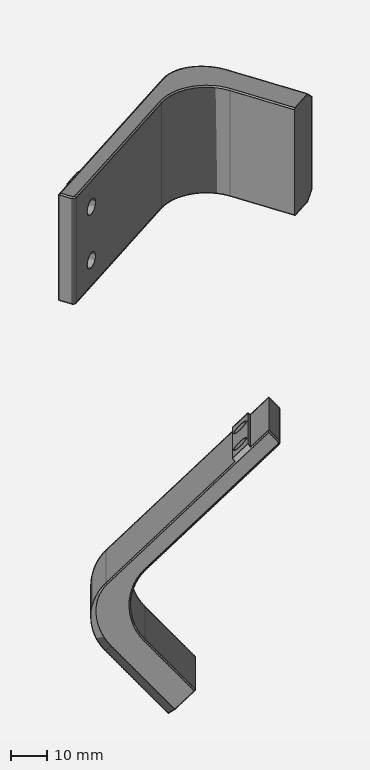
import cadquery as cq

width = 39.0
length = 76.5
height = 36.25

long_leg_thickness = 5.0
short_leg_thickness = 10.5
bend_radius = 14.0
end_radius = 1.0

rim_chamfer = 0.42
back_chamfer = 2.5
rim_depth = 3.05

rib_height = 1.0
rib_width = 6.0
rib_from_end = 10.0
hole_diameter = 5.0
hole_spacing = 18.0


def bar_outline(z, grow_rim, grow_back):
    """L-shaped outline at height z, grown outwards from the nominal sides.

    The back may grow by a different amount, which makes the outer bend elliptical.
    The end of the short leg never moves.
    """
    left = -grow_rim
    right = long_leg_thickness + grow_rim
    free_end = -grow_rim
    back = length + grow_back
    front = length - short_leg_thickness - grow_rim
    inner_radius = bend_radius - grow_rim
    corner_radius = end_radius + grow_rim
    return (
        cq.Workplane("XY", origin=(0, 0, z))
        .moveTo(left, free_end)
        .lineTo(right - corner_radius, free_end)
        .radiusArc((right, free_end + corner_radius), -corner_radius)
        .lineTo(right, front - inner_radius)
        .radiusArc((right + inner_radius, front), inner_radius)
        .lineTo(width, front)
        .lineTo(width, back)
        .lineTo(bend_radius, back)
        .ellipseArc(
            bend_radius + grow_rim,
            bend_radius + grow_back,
            90,
            180,
            startAtCurrent=True,
        )
        .close()
    )


def make_bar():
    return bar_outline(0, 0, 0).extrude(height)


def make_rib():
    """Full-height rib, sunk halfway into the long leg so that the two fuse."""
    depth = rib_height + long_leg_thickness / 2
    rib = cq.Workplane("XY").box(depth, rib_width, height, centered=(False, True, False))
    return rib.translate((-rib_height, rib_from_end, 0))


def make_envelope():
    """Solid with sloping rims that trims the bar and the rib to their chamfers.

    Straight sides slope at 45 degrees. Around the outer bend the chamfer blends
    from the narrow rim to the wide back.
    """
    grown_rim = rim_depth - rim_chamfer
    grown_back = rim_depth - back_chamfer
    rim_z = height - rim_depth
    lower = bar_outline(rim_z, grown_rim, grown_back).val()
    upper = bar_outline(height, -rim_chamfer, -back_chamfer).val()
    top_rim = cq.Workplane(cq.Solid.makeLoft([lower, upper], True))
    bottom_rim = top_rim.mirror("XY", (0, 0, height / 2))
    middle = bar_outline(rim_depth, grown_rim, grown_back).extrude(rim_z - rim_depth)
    return middle.union(top_rim).union(bottom_rim)


def make_holes():
    """Two through holes, one above the other on the rib centre line."""
    return (
        cq.Workplane("YZ", origin=(-rib_height, rib_from_end, height / 2))
        .pushPoints([(0, -hole_spacing / 2), (0, hole_spacing / 2)])
        .circle(hole_diameter / 2)
        .extrude(rib_height + long_leg_thickness)
    )


result = make_bar().union(make_rib()).intersect(make_envelope()).cut(make_holes())